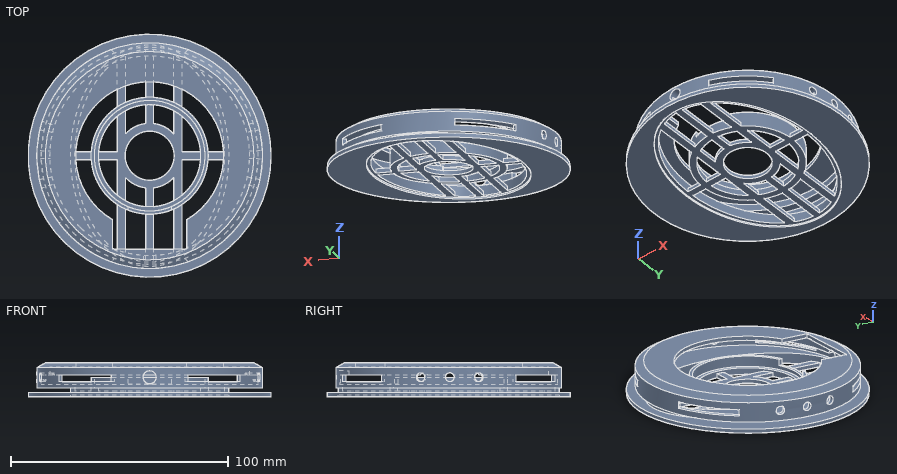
import cadquery as cq

BASE_DIAMETER = 112.0
BASE_THICKNESS = 2.0
NECK_OUTER_HALF_X = 36.5
NECK_OUTER_HALF_Y = 51.0
NECK_WALL = 2.0
NECK_BOTTOM_Z = 0.75

BODY_DIAMETER = 104.0
BODY_BOTTOM_Z = 4.0
FLOOR_Z = 5.75
TOTAL_HEIGHT = 15.75
TOP_BEVEL_RADIAL = 4.0
TOP_BEVEL_HEIGHT = 2.25
TOP_PLATE_THICKNESS = 2.0
LOWER_CAVITY_RADIUS = 50.0
UPPER_CAVITY_RADIUS = 46.0
CAVITY_STEP_Z = 10.0

TOP_OPENING_RADIUS = 34.0
TOP_NOTCH_WIDTH = 34.0
TOP_NOTCH_REACH = 43.0

SLOT_BOTTOM_Z = 7.0
SLOT_TOP_Z = 10.0
SLOT_WIDTH = 29.5
SLOT_OFFSET = 7.25
SLOT_DIRECTION_ANGLE = 45.0
SIDE_HOLE_Z = 9.0
VENT_DIAMETER = 4.0
VENT_PITCH_ANGLE = 15.0
VENT_OFFSET_Y = 0.5
CABLE_HOLE_DIAMETER = 6.0
WALL_CUT_MARGIN = 6.0

HUB_BORE_DIAMETER = 22.5
RIB_THICKNESS = 2.0
RIB_TOP_Z = NECK_BOTTOM_Z + RIB_THICKNESS
RIB_WIDTH = 3.75
HUB_DIAMETER = HUB_BORE_DIAMETER + 2 * RIB_WIDTH
SIDE_RIB_X = 13.0
SIDE_RIB_WIDTH = 4.0
RING_DIAMETER = 54.0
RING_SEAT_DIAMETER = 51.0
RING_BORE_DIAMETER = 47.0
RING_SEAT_Z = 4.0
RING_TOP_Z = 9.0
RING_NOTCH_WIDTH = 20.0
RING_NOTCH_BOTTOM_Z = 6.0

BASE_RADIUS = BASE_DIAMETER / 2
BODY_RADIUS = BODY_DIAMETER / 2
NECK_INNER_HALF_X = NECK_OUTER_HALF_X - NECK_WALL
NECK_INNER_HALF_Y = NECK_OUTER_HALF_Y - NECK_WALL
TOP_PLATE_BOTTOM_Z = TOTAL_HEIGHT - TOP_PLATE_THICKNESS


def cylinder(radius, bottom_z, top_z):
    return cq.Workplane("XY").workplane(offset=bottom_z).circle(radius).extrude(top_z - bottom_z)


def elliptical_prism(half_x, half_y, bottom_z, top_z):
    return cq.Workplane("XY").workplane(offset=bottom_z).ellipse(half_x, half_y).extrude(top_z - bottom_z)


def box(size_x, size_y, center_x, center_y, bottom_z, top_z):
    return (
        cq.Workplane("XY")
        .workplane(offset=bottom_z)
        .center(center_x, center_y)
        .rect(size_x, size_y)
        .extrude(top_z - bottom_z)
    )


def make_shell():
    """Flange, elliptical neck and beveled housing with its stepped round cavity."""
    base = cylinder(BASE_RADIUS, 0, BASE_THICKNESS)
    underside_recess = elliptical_prism(NECK_OUTER_HALF_X, NECK_OUTER_HALF_Y, 0, NECK_BOTTOM_Z)
    base = base.cut(underside_recess)
    neck = elliptical_prism(NECK_OUTER_HALF_X, NECK_OUTER_HALF_Y, NECK_BOTTOM_Z, FLOOR_Z)
    bevel_start_z = TOTAL_HEIGHT - TOP_BEVEL_HEIGHT
    body = (
        cq.Workplane("XZ")
        .moveTo(0, BODY_BOTTOM_Z)
        .lineTo(BODY_RADIUS, BODY_BOTTOM_Z)
        .lineTo(BODY_RADIUS, bevel_start_z)
        .lineTo(BODY_RADIUS - TOP_BEVEL_RADIAL, TOTAL_HEIGHT)
        .lineTo(0, TOTAL_HEIGHT)
        .close()
        .revolve(360, (0, 0, 0), (0, 1, 0))
    )
    lower_cavity = cylinder(LOWER_CAVITY_RADIUS, FLOOR_Z, CAVITY_STEP_Z)
    upper_cavity = cylinder(UPPER_CAVITY_RADIUS, CAVITY_STEP_Z, TOP_PLATE_BOTTOM_Z)
    passage = elliptical_prism(NECK_INNER_HALF_X, NECK_INNER_HALF_Y, NECK_BOTTOM_Z, CAVITY_STEP_Z)
    return base.union(neck).union(body).cut(lower_cavity).cut(upper_cavity).cut(passage)


def make_top_opening():
    """Round opening in the top plate, widened by a rectangular notch toward -Y."""
    opening = cylinder(TOP_OPENING_RADIUS, TOP_PLATE_BOTTOM_Z, TOTAL_HEIGHT)
    notch = box(
        TOP_NOTCH_WIDTH, TOP_NOTCH_REACH, 0, -TOP_NOTCH_REACH / 2, TOP_PLATE_BOTTOM_Z, TOTAL_HEIGHT
    )
    return opening.union(notch)


def make_slot():
    """Straight-sided slot through the wall in the +X +Y quadrant."""
    start_radius = UPPER_CAVITY_RADIUS - WALL_CUT_MARGIN
    length = BASE_RADIUS - start_radius
    slot = box(length, SLOT_WIDTH, start_radius + length / 2, SLOT_OFFSET, SLOT_BOTTOM_Z, SLOT_TOP_Z)
    return slot.rotate((0, 0, 0), (0, 0, 1), SLOT_DIRECTION_ANGLE)


def make_side_hole(diameter, angle):
    """Radial hole through the side wall, pointing along the given angle from +X."""
    start_radius = UPPER_CAVITY_RADIUS - WALL_CUT_MARGIN
    hole = (
        cq.Workplane("YZ")
        .workplane(offset=start_radius)
        .center(0, SIDE_HOLE_Z)
        .circle(diameter / 2)
        .extrude(BASE_RADIUS - start_radius)
    )
    return hole.rotate((0, 0, 0), (0, 0, 1), angle)


def cut_side_wall(shell):
    """One slot per quadrant, a row of vents on each X side and a cable hole at -Y."""
    slot = make_slot()
    for slot_copy in (slot, slot.mirror("YZ"), slot.mirror("XZ"), slot.mirror("YZ").mirror("XZ")):
        shell = shell.cut(slot_copy)
    for step in (-1, 0, 1):
        vent = make_side_hole(VENT_DIAMETER, step * VENT_PITCH_ANGLE).translate((0, VENT_OFFSET_Y, 0))
        shell = shell.cut(vent).cut(vent.mirror("YZ"))
    return shell.cut(make_side_hole(CABLE_HOLE_DIAMETER, -90))


def make_grille():
    """Ribs and hub at the bottom of the passage, carrying the raised ring."""
    full_x = 2 * NECK_OUTER_HALF_X
    full_y = 2 * NECK_OUTER_HALF_Y
    ribs = box(full_x, RIB_WIDTH, 0, 0, NECK_BOTTOM_Z, RIB_TOP_Z)
    ribs = ribs.union(box(RIB_WIDTH, full_y, 0, 0, NECK_BOTTOM_Z, RIB_TOP_Z))
    for x in (-SIDE_RIB_X, SIDE_RIB_X):
        ribs = ribs.union(box(SIDE_RIB_WIDTH, full_y, x, 0, NECK_BOTTOM_Z, RIB_TOP_Z))
    rib_limit = elliptical_prism(NECK_OUTER_HALF_X, NECK_OUTER_HALF_Y, NECK_BOTTOM_Z, RIB_TOP_Z)
    ribs = ribs.intersect(rib_limit)
    hub = cylinder(HUB_DIAMETER / 2, NECK_BOTTOM_Z, RIB_TOP_Z)
    hub_bore = cylinder(HUB_BORE_DIAMETER / 2, NECK_BOTTOM_Z, RIB_TOP_Z)

    ring = cylinder(RING_DIAMETER / 2, NECK_BOTTOM_Z, RING_TOP_Z)
    ring = ring.cut(cylinder(RING_BORE_DIAMETER / 2, NECK_BOTTOM_Z, RING_SEAT_Z))
    ring = ring.cut(cylinder(RING_SEAT_DIAMETER / 2, RING_SEAT_Z, RING_TOP_Z))
    ring_radius = RING_DIAMETER / 2
    ring_notch = box(
        RING_NOTCH_WIDTH, ring_radius, 0, -ring_radius, RING_NOTCH_BOTTOM_Z, RING_TOP_Z
    )
    return ribs.union(hub).cut(hub_bore).union(ring.cut(ring_notch))


shell = cut_side_wall(make_shell()).cut(make_top_opening())
result = shell.union(make_grille())